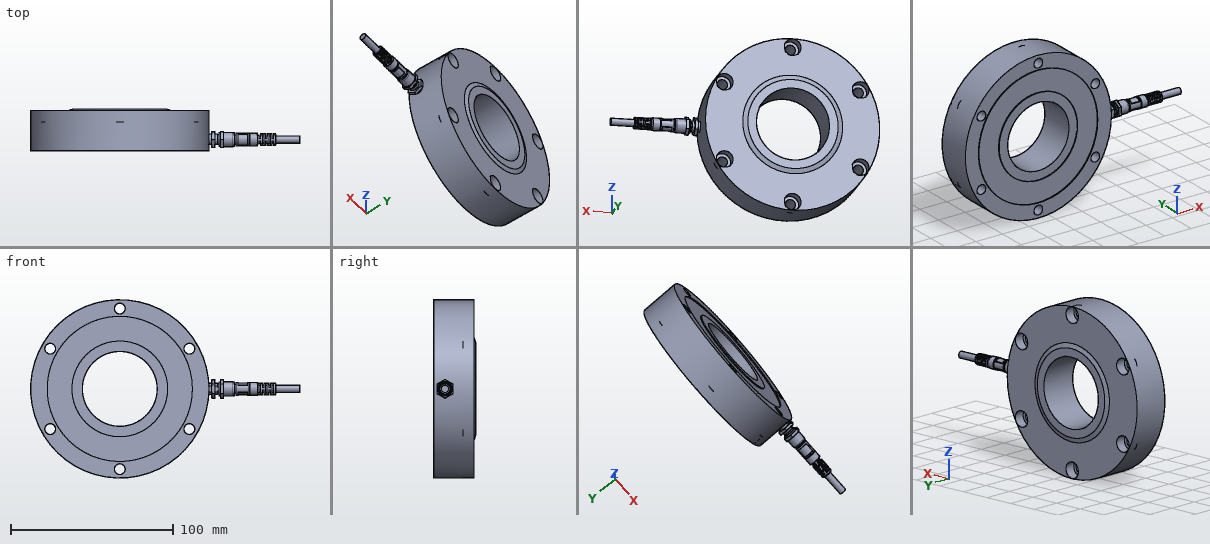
import cadquery as cq
import math


ring_radius = 55.0
ring_thickness = 25.0
bore_diameter = 46.0

load_face_height = 1.0
load_face_base_diameter = 63.0
load_face_top_diameter = 57.0

recess_inner_diameter = 59.0
recess_outer_diameter = 89.5
recess_depth = 0.7

hole_count = 6
hole_circle_radius = 49.5
hole_diameter = 6.5
counterbore_diameter = 10.5
counterbore_depth = 7.0

connector_y = 7.0

thread_diameter = 7.0
thread_flat_offset = 3.0
thread_seat_x = 52.0
thread_end_x = 60.1
undercut_diameter = 6.5
hex_across_flats = 10.0
hex_across_corners = hex_across_flats / math.cos(math.radians(30))
hex_thickness = 2.0
flange_x = 62.05
barrel_start_x = flange_x + hex_thickness
barrel_end_x = 69.6
barrel_diameter = 9.0
rim_end_x = 70.6
rim_diameter = 8.5

nut_x = 56.55
nut_chamfer = 0.4
washer_thickness = 1.0
washer_x = flange_x - washer_thickness
washer_diameter = 8.5

plug_diameter = 8.0
plug_neck_diameter = 5.8
plug_insertion = 5.0
plug_tip_x = rim_end_x - plug_insertion
plug_body_x = 71.55
plug_end_x = 84.8
window_start_x = 72.8
window_end_x = 78.75
window_floor_diameter = 7.5
window_width = 6.4
seam_x = 79.7
seam_width = 0.5
seam_diameter = 7.4

relief_diameter = 7.25
relief_end_x = 96.3
relief_chamfer = 0.5
slot_count = 5
slot_pitch = 2.0
slot_width = 1.0
first_slot_x = 86.3
bridge_half_width = 0.75
collar_half_width = 2.75

cable_diameter = 4.5
cable_end_x = 110.93


def cylinder_along_x(start_x, end_x, diameter):
    """Cylinder on the connector axis."""
    plane = cq.Plane(origin=(start_x, connector_y, 0), xDir=(0, 1, 0), normal=(1, 0, 0))
    return cq.Workplane(plane).circle(diameter / 2).extrude(end_x - start_x)


def cone_along_x(start_x, end_x, start_diameter, end_diameter):
    """Truncated cone on the connector axis."""
    solid = cq.Solid.makeCone(
        start_diameter / 2,
        end_diameter / 2,
        end_x - start_x,
        pnt=cq.Vector(start_x, connector_y, 0),
        dir=cq.Vector(1, 0, 0),
    )
    return cq.Workplane(solid)


def hexagon_along_x(start_x):
    """Hexagonal plate on the connector axis, with corners at the top and bottom."""
    plane = cq.Plane(origin=(start_x, connector_y, 0), xDir=(0, 0, 1), normal=(1, 0, 0))
    return cq.Workplane(plane).polygon(6, hex_across_corners).extrude(hex_thickness)


def block_along_x(start_x, end_x, size_y, size_z):
    """Rectangular block centred on the connector axis."""
    return (
        cq.Workplane("XY")
        .box(end_x - start_x, size_y, size_z)
        .translate(((start_x + end_x) / 2, connector_y, 0))
    )


def cylinder_along_y(start_y, end_y, diameter):
    """Cylinder on the load ring axis."""
    plane = cq.Plane(origin=(0, start_y, 0), xDir=(1, 0, 0), normal=(0, 1, 0))
    return cq.Workplane(plane).circle(diameter / 2).extrude(end_y - start_y)


def make_load_ring():
    ring = cylinder_along_y(0, ring_thickness, 2 * ring_radius)

    load_face = cq.Solid.makeCone(
        load_face_base_diameter / 2,
        load_face_top_diameter / 2,
        load_face_height,
        pnt=cq.Vector(0, ring_thickness, 0),
        dir=cq.Vector(0, 1, 0),
    )
    ring = ring.union(cq.Workplane(load_face))
    ring = ring.cut(cylinder_along_y(0, ring_thickness + load_face_height, bore_diameter))

    recess = cylinder_along_y(0, recess_depth, recess_outer_diameter)
    recess = recess.cut(cylinder_along_y(0, recess_depth, recess_inner_diameter))
    ring = ring.cut(recess)

    counterbore_floor_y = ring_thickness - counterbore_depth
    hole = cylinder_along_y(0, ring_thickness, hole_diameter)
    hole = hole.union(cylinder_along_y(counterbore_floor_y, ring_thickness, counterbore_diameter))
    for index in range(hole_count):
        angle = math.radians(90 + index * 360 / hole_count)
        hole_x = hole_circle_radius * math.cos(angle)
        hole_z = hole_circle_radius * math.sin(angle)
        ring = ring.cut(hole.translate((hole_x, 0, hole_z)))

    thread_hole = cylinder_along_x(thread_seat_x, ring_radius, thread_diameter)
    return ring.cut(thread_hole)


def make_receptacle():
    thread = cylinder_along_x(thread_seat_x, thread_end_x, thread_diameter)
    thread = thread.union(cylinder_along_x(thread_end_x, flange_x, undercut_diameter))
    flat_cutter = block_along_x(thread_seat_x, washer_x, thread_diameter, thread_diameter)
    flat_shift = thread_flat_offset + thread_diameter / 2
    thread = thread.cut(flat_cutter.translate((0, -flat_shift, 0)))

    body = thread.union(hexagon_along_x(flange_x))
    body = body.union(cylinder_along_x(barrel_start_x, barrel_end_x, barrel_diameter))
    body = body.union(cone_along_x(barrel_end_x, rim_end_x, barrel_diameter, rim_diameter))
    plug_hole = cylinder_along_x(plug_tip_x, rim_end_x, plug_neck_diameter)
    return body.cut(plug_hole)


def make_panel_nut():
    nut = hexagon_along_x(nut_x)
    chamfer_end_x = nut_x + nut_chamfer
    nut_end_x = nut_x + hex_thickness
    face_diameter = hex_across_corners - 2 * nut_chamfer
    envelope = cone_along_x(nut_x, chamfer_end_x, face_diameter, hex_across_corners)
    envelope = envelope.union(cylinder_along_x(chamfer_end_x, nut_end_x, hex_across_corners))
    nut = nut.intersect(envelope)
    return nut.cut(cylinder_along_x(nut_x, nut_end_x, thread_diameter))


def make_washer():
    washer = cylinder_along_x(washer_x, flange_x, washer_diameter)
    return washer.cut(cylinder_along_x(washer_x, flange_x, undercut_diameter))


def make_plug():
    plug = cylinder_along_x(plug_tip_x, plug_body_x, plug_neck_diameter)
    plug = plug.union(cylinder_along_x(plug_body_x, plug_end_x, plug_diameter))

    window = cylinder_along_x(window_start_x, window_end_x, plug_diameter)
    window = window.cut(cylinder_along_x(window_start_x, window_end_x, window_floor_diameter))
    opening = block_along_x(window_start_x, window_end_x, window_width, plug_diameter)
    plug = plug.cut(window.intersect(opening))

    seam = cylinder_along_x(seam_x, seam_x + seam_width, plug_diameter)
    seam = seam.cut(cylinder_along_x(seam_x, seam_x + seam_width, seam_diameter))
    return plug.cut(seam)


def make_bend_relief():
    relief = cylinder_along_x(plug_end_x, relief_end_x, relief_diameter)
    relief = relief.faces(">X").edges().chamfer(relief_chamfer)

    collar_end_x = first_slot_x - slot_width / 2
    collar = block_along_x(plug_end_x, collar_end_x, 2 * relief_diameter, relief_diameter)
    collar = collar.cut(
        block_along_x(plug_end_x, collar_end_x, 2 * collar_half_width, relief_diameter)
    )
    relief = relief.cut(collar)

    for index in range(slot_count):
        start_x = first_slot_x + index * slot_pitch - slot_width / 2
        end_x = start_x + slot_width
        slot = cylinder_along_x(start_x, end_x, relief_diameter)
        bridge_width = 2 * bridge_half_width
        if index % 2 == 0:
            bridges = block_along_x(start_x, end_x, bridge_width, relief_diameter)
        else:
            bridges = block_along_x(start_x, end_x, relief_diameter, bridge_width)
        relief = relief.cut(slot.cut(bridges))

    return relief.cut(cylinder_along_x(plug_end_x, relief_end_x, cable_diameter))


def make_cable():
    return cylinder_along_x(plug_end_x, cable_end_x, cable_diameter)


load_ring = make_load_ring()
receptacle = make_receptacle()
panel_nut = make_panel_nut()
washer = make_washer()
plug = make_plug()
cable = make_cable()
bend_relief = make_bend_relief()

result = cq.Compound.makeCompound(
    [
        load_ring.val(),
        receptacle.val(),
        panel_nut.val(),
        washer.val(),
        plug.val(),
        bend_relief.val(),
        cable.val(),
    ]
)